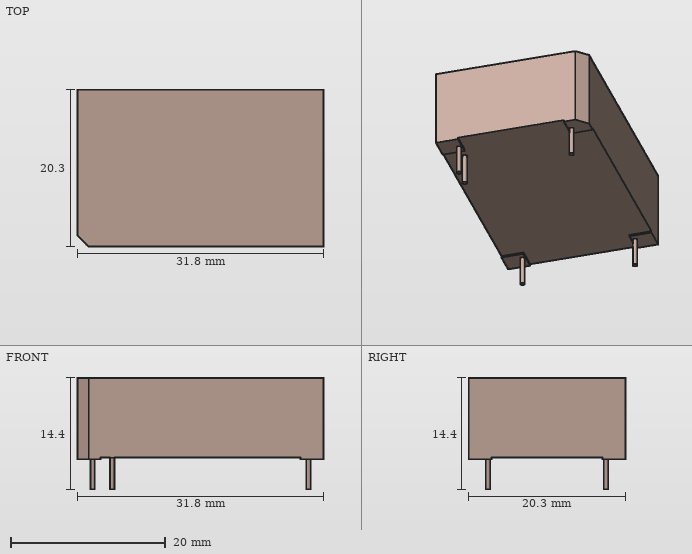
import cadquery as cq

length = 31.8
width = 20.3
total_height = 14.4

corner_chamfer = 1.43
foot_side = 3.0
foot_height = 0.22

pin_diameter = 0.6
pin_length = 3.88
pin_pitch = 2.55
row_spacing = 15.23
end_pin_spacing = 27.9

left_pin_x = -end_pin_spacing / 2
right_pin_x = end_pin_spacing / 2
front_row_y = -row_spacing / 2
back_row_y = row_spacing / 2
pin_positions = [
    (left_pin_x, front_row_y),
    (right_pin_x, front_row_y),
    (left_pin_x, back_row_y),
    (left_pin_x + pin_pitch, back_row_y),
    (right_pin_x, back_row_y),
]


def make_case():
    """Block with one chamfered upright edge, standing on z = 0."""
    block_height = total_height - pin_length
    block = cq.Workplane("XY").box(length, width, block_height, centered=(True, True, False))
    return block.edges("|Z and <X and <Y").chamfer(corner_chamfer)


def make_underside_recess():
    """Cross-shaped shallow recess that leaves a square foot at each corner."""
    along_x = cq.Workplane("XY").box(
        length, width - 2 * foot_side, foot_height, centered=(True, True, False)
    )
    along_y = cq.Workplane("XY").box(
        length - 2 * foot_side, width, foot_height, centered=(True, True, False)
    )
    return along_x.union(along_y)


def make_pins():
    """Round pins running from the recess floor down past the feet."""
    return (
        cq.Workplane("XY", origin=(0, 0, -pin_length))
        .pushPoints(pin_positions)
        .circle(pin_diameter / 2)
        .extrude(pin_length + foot_height)
    )


result = make_case().cut(make_underside_recess()).union(make_pins())